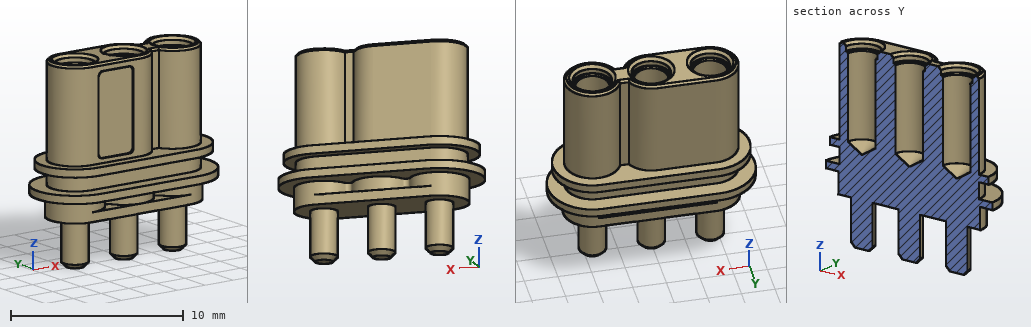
import cadquery as cq
import math

PITCH = 3.5
CONTACT_X = (-PITCH, 0, PITCH)

TOTAL_HEIGHT = 12.4
BASE_BOTTOM = 3.0
BASE_BAND_HEIGHT = 0.6
LOWER_FLANGE_BOTTOM = 4.4
UPPER_FLANGE_BOTTOM = 5.9
FLANGE_THICKNESS = 0.5
BODY_BOTTOM = UPPER_FLANGE_BOTTOM + FLANGE_THICKNESS

PIN_DIAMETER = 1.61
BODY_DIAMETER = 3.3
BASE_DIAMETER = PITCH
UPPER_FLANGE_DIAMETER = 4.7
LOWER_FLANGE_DIAMETER = 5.31

PIN_CHAMFER = 0.3
BODY_CHAMFER = 0.15
NECK_WIDTH = 1.4
BASE_GROOVE_RADIUS = 0.25

MOUTH_DIAMETER = 2.7
MOUTH_DEPTH = 0.2
ENTRY_DIAMETER = 2.3
ENTRY_DEPTH = 0.5
CONTACT_RIM_DIAMETER = 2.2
BORE_DIAMETER = 2.0
BORE_DEPTH = TOTAL_HEIGHT - BODY_BOTTOM
DRILL_POINT_ANGLE = 118

PANEL_WIDTH = 2.5
PANEL_HEIGHT = 5.21
PANEL_TOP_MARGIN = 0.51
PANEL_CORNER_RADIUS = 0.3
PANEL_DEPTH = 0.1


def stadium(first_x, last_x, diameter, bottom, height):
    """Upright prism with round ends centred on first_x and last_x."""
    return (
        cq.Workplane("XY", origin=((first_x + last_x) / 2, 0, bottom))
        .slot2D(last_x - first_x + diameter, diameter)
        .extrude(height)
    )


def cylinders(centres, diameter, bottom, height):
    """Upright cylinders standing on the given XY centres."""
    return cq.Workplane("XY", origin=(0, 0, bottom)).pushPoints(centres).circle(diameter / 2).extrude(height)


def box(centre_x, length, width, bottom, height):
    """Upright block centred on the X axis."""
    return cq.Workplane("XY", origin=(centre_x, 0, bottom)).rect(length, width).extrude(height)


def full_length_stadium(diameter, bottom, height):
    """Stadium whose ends are centred on the outer contacts."""
    return stadium(CONTACT_X[0], CONTACT_X[-1], diameter, bottom, height)


def make_body():
    """Paired housing and single barrel joined by a narrow neck, chamfered round the top."""
    height = TOTAL_HEIGHT - BODY_BOTTOM
    paired_housing = stadium(CONTACT_X[0], CONTACT_X[1], BODY_DIAMETER, BODY_BOTTOM, height)
    barrel = cylinders([(CONTACT_X[2], 0)], BODY_DIAMETER, BODY_BOTTOM, height)
    neck = box(PITCH / 2, PITCH, NECK_WIDTH, BODY_BOTTOM, height)
    return paired_housing.union(barrel).union(neck).faces(">Z").chamfer(BODY_CHAMFER)


def make_base():
    """Three touching cylinders with rounded grooves between them, over a smooth-sided band."""
    height = LOWER_FLANGE_BOTTOM - BASE_BOTTOM
    radius = BASE_DIAMETER / 2

    groove_y = math.sqrt((radius + BASE_GROOVE_RADIUS) ** 2 - (PITCH / 2) ** 2)
    tangent_y = groove_y * radius / (radius + BASE_GROOVE_RADIUS)

    base = box(0, 2 * PITCH, 2 * tangent_y, BASE_BOTTOM, height)
    for x in CONTACT_X:
        base = base.union(cylinders([(x, 0)], BASE_DIAMETER, BASE_BOTTOM, height))
    groove_centres = [(x, side * groove_y) for x in (-PITCH / 2, PITCH / 2) for side in (-1, 1)]
    base = base.cut(cylinders(groove_centres, 2 * BASE_GROOVE_RADIUS, BASE_BOTTOM, height))

    return base.union(full_length_stadium(BASE_DIAMETER, BASE_BOTTOM, BASE_BAND_HEIGHT))


def make_pin(x):
    """Solder pin with a chamfered tip."""
    return cylinders([(x, 0)], PIN_DIAMETER, 0, BASE_BOTTOM).faces("<Z").chamfer(PIN_CHAMFER)


def make_socket(x):
    """Cutter for one socket: flared mouth, entry bore, chamfered contact bore and drill point."""
    rim_z = TOTAL_HEIGHT - ENTRY_DEPTH
    rim_chamfer = (CONTACT_RIM_DIAMETER - BORE_DIAMETER) / 2
    bore_end_z = TOTAL_HEIGHT - BORE_DEPTH
    point_depth = BORE_DIAMETER / 2 / math.tan(math.radians(DRILL_POINT_ANGLE / 2))
    profile = [
        (0, TOTAL_HEIGHT),
        (MOUTH_DIAMETER / 2, TOTAL_HEIGHT),
        (ENTRY_DIAMETER / 2, TOTAL_HEIGHT - MOUTH_DEPTH),
        (ENTRY_DIAMETER / 2, rim_z),
        (CONTACT_RIM_DIAMETER / 2, rim_z),
        (BORE_DIAMETER / 2, rim_z - rim_chamfer),
        (BORE_DIAMETER / 2, bore_end_z),
        (0, bore_end_z - point_depth),
    ]
    return cq.Workplane("XZ").polyline(profile).close().revolve(360, (0, 0), (0, 1)).translate((x, 0, 0))


def make_panel():
    """Cutter for the round-cornered label recess in the paired housing."""
    centre_z = TOTAL_HEIGHT - PANEL_TOP_MARGIN - PANEL_HEIGHT / 2
    return (
        cq.Workplane("XZ", origin=(-PITCH / 2, PANEL_DEPTH - BODY_DIAMETER / 2, centre_z))
        .rect(PANEL_WIDTH, PANEL_HEIGHT)
        .extrude(PANEL_DEPTH)
        .edges("|Y")
        .fillet(PANEL_CORNER_RADIUS)
    )


lower_flange = full_length_stadium(LOWER_FLANGE_DIAMETER, LOWER_FLANGE_BOTTOM, FLANGE_THICKNESS)
upper_flange = full_length_stadium(UPPER_FLANGE_DIAMETER, UPPER_FLANGE_BOTTOM, FLANGE_THICKNESS)
waist_bottom = LOWER_FLANGE_BOTTOM + FLANGE_THICKNESS
waist = full_length_stadium(BODY_DIAMETER, waist_bottom, UPPER_FLANGE_BOTTOM - waist_bottom)

result = make_base().union(lower_flange).union(waist).union(upper_flange).union(make_body())
for contact_x in CONTACT_X:
    result = result.union(make_pin(contact_x)).cut(make_socket(contact_x))
result = result.cut(make_panel())